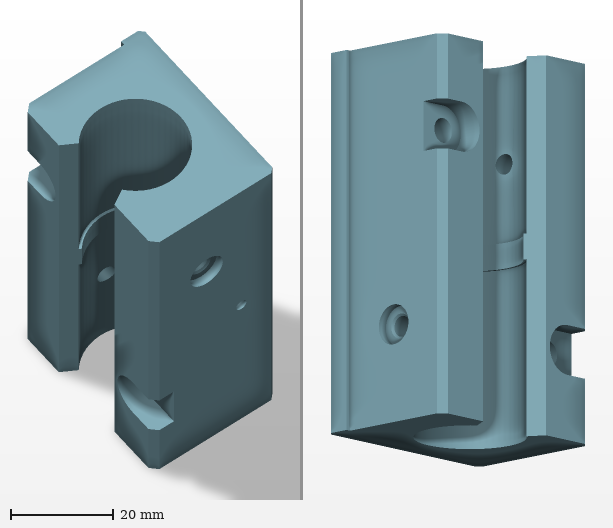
import cadquery as cq
import math

length = 76.0
width = 43.0
depth = 30.0
half_width = width / 2
front_y = -12.0
back_y = front_y + depth
edge_overrun = 0.75

ledge_step = 1.0
ledge_height = 5.2
back_chamfer = 1.0
front_chamfer = 1.5

bore_radius = 11.1
land_radius = 10.5
land_length = 5.2
opening_half_width = 9.0
flare_angle = math.radians(30)

mount_x = 15.0
mount_end_distance = 18.0
mount_diameter = 4.95
pocket_diameter = 9.95
pocket_depth = 5.1

side_y = 1.15
side_end_distance = 19.5
side_diameter = 4.1
side_mouth_diameter = 4.95
side_counterbore_diameter = 8.0
side_counterbore_depth = 2.0

feed_diameter = 2.5
feed_y = 9.65
feed_end_x = 0.1


def make_block():
    """Extrude the outer outline with its ledge and chamfered corners."""
    side_x = -half_width + ledge_step
    outline = [
        (-half_width, back_y - ledge_height),
        (-half_width, back_y - back_chamfer),
        (-half_width + back_chamfer, back_y),
        (half_width - back_chamfer, back_y),
        (half_width, back_y - back_chamfer),
        (half_width, front_y + front_chamfer),
        (half_width - front_chamfer, front_y),
        (side_x + front_chamfer, front_y),
        (side_x, front_y + front_chamfer),
        (side_x, back_y - ledge_height),
    ]
    return cq.Workplane("XY").polyline(outline).close().extrude(length)


def make_bore():
    """Bore narrowed by the land at mid length."""
    bore_length = (length - land_length) / 2
    lower = cq.Workplane("XY").circle(bore_radius).extrude(bore_length)
    upper = lower.translate((0, 0, length - bore_length))
    land = cq.Workplane("XY").circle(land_radius).extrude(length)
    return land.union(lower).union(upper)


def make_opening():
    """Flared slot from the front face to the bore axis."""
    narrow_half_width = opening_half_width + front_y * math.tan(flare_angle)
    outline = [
        (-opening_half_width, front_y),
        (opening_half_width, front_y),
        (narrow_half_width, 0),
        (-narrow_half_width, 0),
    ]
    return cq.Workplane("XY").polyline(outline).close().extrude(length)


def cylinder_along(diameter, height, start, direction):
    """Cylinder from a start point along a direction."""
    return cq.Workplane(
        cq.Solid.makeCylinder(diameter / 2, height, cq.Vector(*start), cq.Vector(*direction))
    )


def make_mount_cut(side, z):
    """Through hole and pocket; side is -1 or +1 along X."""
    x = side * mount_x
    hole = cylinder_along(mount_diameter, depth, (x, front_y, z), (0, 1, 0))
    pocket = cylinder_along(pocket_diameter, pocket_depth, (x, front_y, z), (0, 1, 0))
    run_out = half_width - mount_x + edge_overrun
    side_slot = cq.Workplane("XY").box(run_out, pocket_depth, pocket_diameter).translate(
        (x + side * run_out / 2, front_y + pocket_depth / 2, z)
    )
    return hole.union(pocket).union(side_slot)


def make_side_cut(side, face_x, z):
    """Counterbored hole with a conical mouth, from a side face into the bore."""
    inward = (-side, 0, 0)
    floor_x = face_x - side * side_counterbore_depth
    mouth_depth = (side_mouth_diameter - side_diameter) / 2
    hole = cylinder_along(side_diameter, abs(face_x), (face_x, side_y, z), inward)
    counterbore = cylinder_along(
        side_counterbore_diameter, side_counterbore_depth, (face_x, side_y, z), inward
    )
    mouth = cq.Workplane(
        cq.Solid.makeCone(
            side_mouth_diameter / 2,
            side_diameter / 2,
            mouth_depth,
            cq.Vector(floor_x, side_y, z),
            cq.Vector(*inward),
        )
    )
    return hole.union(counterbore).union(mouth)


def make_feed_hole():
    """Hole from the +X side along X, ending in a half sphere."""
    end = (feed_end_x, feed_y, length / 2)
    drill = cylinder_along(feed_diameter, half_width - feed_end_x, end, (1, 0, 0))
    tip = cq.Workplane("XY").sphere(feed_diameter / 2).translate(end)
    return drill.union(tip)


result = make_block().cut(make_bore()).cut(make_opening())
result = result.cut(make_mount_cut(-1, length - mount_end_distance))
result = result.cut(make_mount_cut(1, mount_end_distance))
result = result.cut(make_side_cut(-1, -half_width + ledge_step, side_end_distance))
result = result.cut(make_side_cut(1, half_width, length - side_end_distance))
result = result.cut(make_feed_hole())